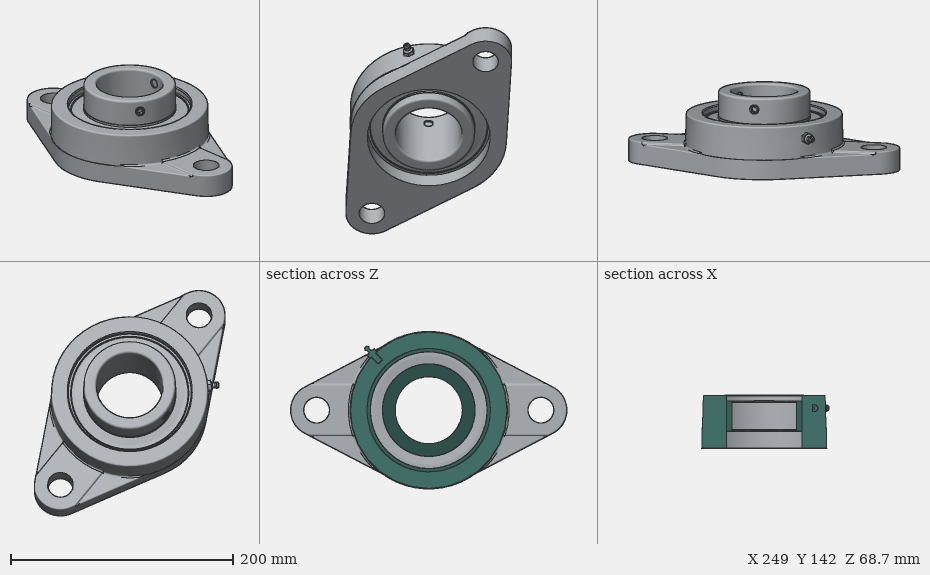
import cadquery as cq
import math

overall_length = 249.0
overall_width = 142.0
plate_arc_radius = 64.0
bolt_end_radius = 23.5
hub_top_radius = 70.4
hub_bottom = 18.0
hub_root_radius = 1.5
housing_height = 48.0
bolt_spacing = 202.0
bolt_hole_diameter = 23.0
pad_top = 20.4
pad_half_width = 22.9
web_top = 18.4
edge_radius = 1.0
hub_rim_radius = 1.3
seat_diameter = 110.64
seat_chamfer = 1.0

shaft_diameter = 60.0
inner_ring_diameter = 82.55
inner_ring_shoulder_diameter = 83.57
inner_ring_shoulder_rise = 16.3
inner_ring_top = 68.7
inner_ring_length = 65.1
inner_ring_rim_radius = 2.0
bearing_center_z = 29.0
outer_ring_width = 27.6
outer_ring_bore = 105.0
outer_ring_chamfer = 0.8
seal_fold_diameter = 98.42
seal_recess = 0.2
seal_rise = 0.8
seal_thickness = 1.5

screw_diameter = 8.38
screw_angles = (90.0, -30.0)
screw_inset = 10.0
screw_inner_radius = 31.0
screw_outer_radius = 42.5
screw_chamfer = 0.5
socket_flats = 5.0
socket_depth = 4.0

nipple_angle = 135.0
nipple_z = 36.2
nipple_stem_diameter = 6.0
nipple_stem_inner_radius = 62.0
nipple_hex_flats = 9.0
nipple_hex_end = 73.9
nipple_collar_diameter = 8.38
nipple_collar_end = 75.0
nipple_neck_diameter = 4.6
nipple_neck_end = 77.4
nipple_head_diameter = 5.99
nipple_head_ridge = 78.6
nipple_shoulder_diameter = 5.0
nipple_shoulder_end = 80.2
nipple_tip_diameter = 2.8
nipple_tip = 80.9
nipple_bore = 1.76

bolt_x = bolt_spacing / 2
hub_base_radius = overall_width / 2
hub_slope = (hub_base_radius - hub_top_radius) / (housing_height - hub_bottom)
arc_center_y = overall_width / 2 - plate_arc_radius
center_angle = math.atan2(arc_center_y, bolt_x)
center_distance = math.hypot(arc_center_y, bolt_x)
tangent_angle = math.asin((plate_arc_radius - bolt_end_radius) / center_distance) + center_angle
screw_z = inner_ring_top - screw_inset
hex_corner_factor = 2 / math.sqrt(3)


def ring(outer_diameter, inner_diameter, bottom, height):
    """Plain ring around Z."""
    blank = cq.Workplane("XY").workplane(offset=bottom).circle(outer_diameter / 2)
    return blank.circle(inner_diameter / 2).extrude(height)


def along_radius(shape, angle, height):
    """Lay a shape built along +Z onto the radial direction at this angle and height."""
    laid = shape.rotate((0, 0, 0), (0, 1, 0), 90)
    return laid.rotate((0, 0, 0), (0, 0, 1), angle).translate((0, 0, height))


def plate_outline(inset=0.0):
    """Two wide arcs and two end arcs joined by their common tangents, moved inward by the inset."""
    arc_radius = plate_arc_radius - inset
    end_radius = bolt_end_radius - inset
    arc_x = arc_radius * math.sin(tangent_angle)
    arc_y = arc_center_y + arc_radius * math.cos(tangent_angle)
    arc_top = arc_center_y + arc_radius
    end_x = bolt_x + end_radius * math.sin(tangent_angle)
    end_y = end_radius * math.cos(tangent_angle)
    tip_x = bolt_x + end_radius
    return (
        cq.Workplane("XY")
        .moveTo(arc_x, arc_y)
        .threePointArc((0, arc_top), (-arc_x, arc_y))
        .lineTo(-end_x, end_y)
        .threePointArc((-tip_x, 0), (-end_x, -end_y))
        .lineTo(-arc_x, -arc_y)
        .threePointArc((0, -arc_top), (arc_x, -arc_y))
        .lineTo(end_x, -end_y)
        .threePointArc((tip_x, 0), (end_x, end_y))
        .close()
    )


def rounded_plate(height):
    return plate_outline().extrude(height).faces(">Z").edges().fillet(edge_radius)


def pad_strip():
    """Bar along X whose long sides run down to the web in a smooth S of two equal arcs."""
    blend = (pad_top - web_top) / 2
    diagonal = blend * math.sqrt(0.5)
    wall = pad_half_width
    middle = web_top + blend
    foot = wall + blend
    crest = wall - blend
    section = (
        cq.Workplane("YZ")
        .workplane(offset=-overall_length / 2)
        .moveTo(-foot, 0)
        .lineTo(foot, 0)
        .lineTo(foot, web_top)
        .threePointArc((foot - diagonal, middle - diagonal), (wall, middle))
        .threePointArc((crest + diagonal, middle + diagonal), (crest, pad_top))
        .lineTo(-crest, pad_top)
        .threePointArc((-crest - diagonal, middle + diagonal), (-wall, middle))
        .threePointArc((-foot + diagonal, middle - diagonal), (-foot, web_top))
        .close()
    )
    return section.extrude(overall_length)


def hub():
    """Slightly tapered hub with a rounded top rim."""
    profile = (
        cq.Workplane("XZ")
        .moveTo(0, hub_bottom)
        .lineTo(hub_base_radius, hub_bottom)
        .lineTo(hub_top_radius, housing_height)
        .lineTo(0, housing_height)
        .close()
    )
    return profile.revolve(360, (0, 0, 0), (0, 1, 0)).faces(">Z").edges().fillet(hub_rim_radius)


def hub_root(floor):
    """Concave fillet around the hub, rising from a flat floor at the given height."""
    top = floor + hub_root_radius
    wall = hub_base_radius - hub_slope * (top - hub_bottom)
    reach = wall + hub_root_radius
    diagonal = hub_root_radius * math.sqrt(0.5)
    profile = (
        cq.Workplane("XZ")
        .moveTo(0, hub_bottom)
        .lineTo(reach, hub_bottom)
        .lineTo(reach, floor)
        .threePointArc((reach - diagonal, top - diagonal), (wall, top))
        .lineTo(0, top)
        .close()
    )
    return profile.revolve(360, (0, 0, 0), (0, 1, 0))


def flange():
    """Plate with low webs, raised bolt pads and the fillets where the hub rises from them."""
    pads = rounded_plate(pad_top).intersect(pad_strip())
    web_root = hub_root(web_top).intersect(plate_outline(edge_radius).extrude(housing_height))
    pad_width = 2 * pad_half_width
    pad_zone = cq.Workplane("XY").rect(overall_length, pad_width).extrude(housing_height)
    pad_root = hub_root(pad_top).intersect(pad_zone)
    return rounded_plate(web_top).union(pads).union(web_root).union(pad_root)


def nipple_hole():
    length = hub_base_radius - nipple_stem_inner_radius
    drill = (
        cq.Workplane("XY")
        .workplane(offset=nipple_stem_inner_radius)
        .circle(nipple_stem_diameter / 2)
        .extrude(length)
    )
    return along_radius(drill, nipple_angle, nipple_z)


def make_housing():
    body = flange().union(hub())
    body = body.cut(cq.Workplane("XY").circle(seat_diameter / 2).extrude(housing_height))
    seat_edge = cq.selectors.RadiusNthSelector(0)
    body = body.faces(">Z").edges(seat_edge).chamfer(seat_chamfer)
    holes = (
        cq.Workplane("XY")
        .pushPoints([(-bolt_x, 0), (bolt_x, 0)])
        .circle(bolt_hole_diameter / 2)
        .extrude(pad_top)
    )
    return body.cut(holes).cut(nipple_hole())


def make_outer_ring():
    bottom = bearing_center_z - outer_ring_width / 2
    body = ring(seat_diameter, outer_ring_bore, bottom, outer_ring_width)
    bore_edges = cq.selectors.RadiusNthSelector(0)
    return body.edges(bore_edges).chamfer(outer_ring_chamfer)


def make_inner_ring():
    bottom = inner_ring_top - inner_ring_length
    body = ring(inner_ring_diameter, shaft_diameter, bottom, inner_ring_length)
    body = body.faces(">Z or <Z").edges().fillet(inner_ring_rim_radius)
    shoulder = ring(
        inner_ring_shoulder_diameter,
        shaft_diameter,
        bearing_center_z - inner_ring_shoulder_rise,
        2 * inner_ring_shoulder_rise,
    )
    body = body.union(shoulder)
    for angle in screw_angles:
        hole = cq.Workplane("XY").circle(screw_diameter / 2).extrude(inner_ring_diameter)
        body = body.cut(along_radius(hole, angle, screw_z))
    return body


def make_seal(side):
    """Seal ring rising toward its bore; side is +1 for the upper seal and -1 for the lower one."""
    outer = outer_ring_bore / 2
    fold = seal_fold_diameter / 2
    inner = inner_ring_shoulder_diameter / 2
    face = outer_ring_width / 2 - seal_recess
    section = [
        (outer, face),
        (fold, face),
        (inner, face + seal_rise),
        (inner, face + seal_rise - seal_thickness),
        (fold, face - seal_thickness),
        (outer, face - seal_thickness),
    ]
    placed = [(radius, bearing_center_z + side * offset) for radius, offset in section]
    return cq.Workplane("XZ").polyline(placed).close().revolve(360, (0, 0, 0), (0, 1, 0))


def make_set_screw(angle):
    body = (
        cq.Workplane("XY")
        .workplane(offset=screw_inner_radius)
        .circle(screw_diameter / 2)
        .extrude(screw_outer_radius - screw_inner_radius)
        .faces(">Z or <Z")
        .edges()
        .chamfer(screw_chamfer)
    )
    socket = (
        cq.Workplane("XY")
        .workplane(offset=screw_outer_radius)
        .polygon(6, socket_flats * hex_corner_factor)
        .extrude(-socket_depth)
    )
    return along_radius(body.cut(socket), angle, screw_z)


def make_grease_nipple():
    """Stem in the housing, hexagon with a conical collar, necked head and lubrication bore."""
    hexagon = (
        cq.Workplane("XY")
        .workplane(offset=nipple_stem_inner_radius)
        .polygon(6, nipple_hex_flats * hex_corner_factor)
        .extrude(nipple_hex_end - nipple_stem_inner_radius)
    )
    hexagon = along_radius(hexagon, nipple_angle, nipple_z).cut(hub())
    stations = [
        (0, nipple_stem_inner_radius),
        (nipple_stem_diameter, nipple_stem_inner_radius),
        (nipple_stem_diameter, nipple_hex_end),
        (nipple_collar_diameter, nipple_hex_end),
        (nipple_neck_diameter, nipple_collar_end),
        (nipple_neck_diameter, nipple_neck_end),
        (nipple_head_diameter, nipple_head_ridge),
        (nipple_shoulder_diameter, nipple_shoulder_end),
        (nipple_tip_diameter, nipple_tip),
        (0, nipple_tip),
    ]
    section = [(diameter / 2, height) for diameter, height in stations]
    turned = cq.Workplane("XZ").polyline(section).close().revolve(360, (0, 0, 0), (0, 1, 0))
    bore = (
        cq.Workplane("XY")
        .workplane(offset=nipple_stem_inner_radius)
        .circle(nipple_bore / 2)
        .extrude(nipple_tip - nipple_stem_inner_radius)
    )
    body = hexagon.union(along_radius(turned, nipple_angle, nipple_z))
    return body.cut(along_radius(bore, nipple_angle, nipple_z))


housing = make_housing()
outer_ring = make_outer_ring()
inner_ring = make_inner_ring()
seals = [make_seal(side) for side in (1, -1)]
set_screws = [make_set_screw(angle) for angle in screw_angles]
grease_nipple = make_grease_nipple()

result = cq.Compound.makeCompound(
    [housing.val(), outer_ring.val(), inner_ring.val(), grease_nipple.val()]
    + [seal.val() for seal in seals]
    + [screw.val() for screw in set_screws]
)